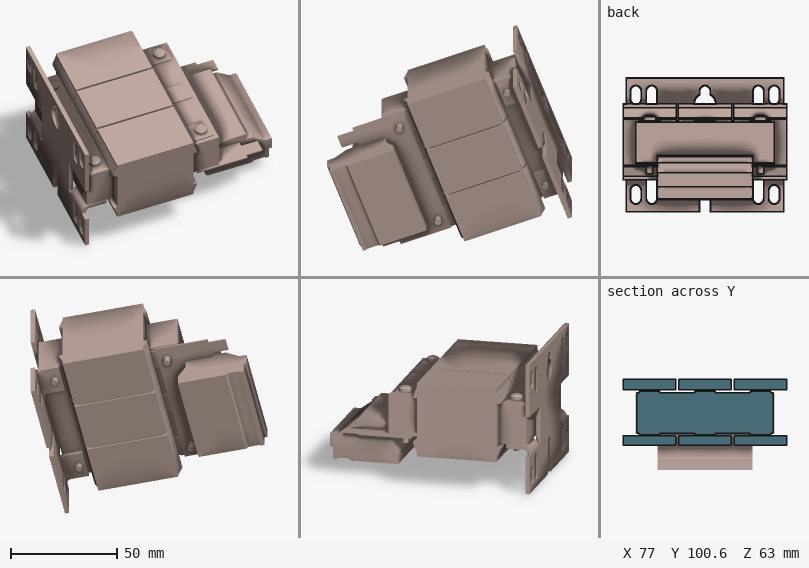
import cadquery as cq
import math


PLATE_WIDTH = 74.0
PLATE_HEIGHT = 63.0
PLATE_THICKNESS = 2.0
PLATE_TOP = PLATE_HEIGHT / 2
NOTCH_INNER_X = 16.8
NOTCH_TOP = 6.0
NOTCH_BOTTOM = -13.5
SLOT_WIDTH = 4.9
SLOT_END = 27.8
OUTER_SLOT_X = 32.5
OUTER_SLOT_LENGTH = 8.9
INNER_SLOT_X = 25.0
INNER_SLOT_LENGTH = 13.3
KEYHOLE_Z = 19.2
KEYHOLE_RADIUS = 5.0
OPEN_SLOT_WIDTH = 5.1
OPEN_SLOT_TOP = -13.8

FOOT_INNER_X = 18.9
FOOT_OUTER_X = 32.9
FOOT_END_Y = 12.4
BEND_RADIUS = 4.1

CORE_WIDTH = 65.1
CORE_TOP = 10.7
CORE_BOTTOM = -8.5
SHEET_THICKNESS = 0.7
CLAMP_TOP = CORE_TOP + SHEET_THICKNESS
CLAMP_BOTTOM = CORE_BOTTOM - SHEET_THICKNESS
FRONT_YOKE_Y = 2.7
BACK_YOKE_Y = 56.7
CORE_END_Y = 69.6
SPACER_Y = 54.5
SPACER_INSET = 0.4

COIL_WIDTH = 24.9
COIL_ROW_WIDTH = 77.0
COIL_PITCH = (COIL_ROW_WIDTH - COIL_WIDTH) / 2
COIL_X = (-COIL_PITCH, 0, COIL_PITCH)
COIL_FRONT_Y = 15.7
COIL_BACK_Y = 54.3
COIL_TOP = 19.2
COIL_BOTTOM = -16.5
FLANGE_REACH = 1.8
RIM_HEIGHT = 1.7
LIP_HEIGHT = 0.7
FLANGE_TOP = 12.0
FLANGE_BOTTOM = -9.6

TONGUE_BASE_WIDTH = 10.0
TONGUE_TIP_WIDTH = 9.3
TONGUE_TIP_Y = 67.5

SCREW_Y = (9.2, 63.1)
SCREW_X = (-COIL_PITCH, COIL_PITCH)
HEAD_RADIUS = 2.9
HEAD_HEIGHT = 2.4
HEAD_TOP_RADIUS = 1.7
HEAD_RIM_HEIGHT = 1.7
SHANK_RADIUS = 1.5
SHANK_BOTTOM = -13.6

CARRIER_THICKNESS = 0.7
CARRIER_START_Y = 58.6
CARRIER_END_Y = 84.1
LUG_INNER_X = 24.6
LUG_OUTER_X = 30.9
LUG_END_Y = 92.4

TERMINAL_WIDTH = 44.7
TERMINAL_OUTLINE = [
    (100.6, -13.1),
    (97.1, -13.1),
    (90.7, -8.5),
    (87.9, -8.5),
    (87.9, -5.5),
    (87.1, -4.9),
    (80.0, -4.9),
    (71.2, -6.5),
    (71.2, -14.2),
    (67.5, -20.5),
    (67.5, -25.8),
    (90.5, -25.8),
    (91.5, -24.7),
    (97.3, -24.7),
    (97.3, -25.5),
    (99.2, -25.5),
    (99.2, -19.6),
    (100.6, -19.6),
]


def block(x0, x1, y0, y1, z0, z1):
    """Box between two corners."""
    return cq.Workplane("XY").box(x1 - x0, y1 - y0, z1 - z0, centered=False).translate((x0, y0, z0))


def extrude_outline(outline, x_center, width):
    """Closed Y-Z outline extruded along X, centred on x_center."""
    solid = cq.Workplane("YZ").polyline(outline).close().extrude(width / 2, both=True)
    return solid.translate((x_center, 0, 0))


def plate_cutter(sketch):
    """Turn a sketch on the X-Z plane into a cutter through the plate."""
    return sketch.extrude(PLATE_THICKNESS, both=True)


def mounting_plate():
    half_width = PLATE_WIDTH / 2
    plate = block(-half_width, half_width, 0, PLATE_THICKNESS, -PLATE_TOP, PLATE_TOP)

    for x0, x1 in ((-half_width, -NOTCH_INNER_X), (NOTCH_INNER_X, half_width)):
        plate = plate.cut(block(x0, x1, 0, PLATE_THICKNESS, NOTCH_BOTTOM, NOTCH_TOP))

    for slot_x, length in ((OUTER_SLOT_X, OUTER_SLOT_LENGTH), (INNER_SLOT_X, INNER_SLOT_LENGTH)):
        slot_z = SLOT_END - length / 2
        centers = [(sx * slot_x, sz * slot_z) for sx in (-1, 1) for sz in (-1, 1)]
        slots = cq.Workplane("XZ").pushPoints(centers).slot2D(length, SLOT_WIDTH, 90)
        plate = plate.cut(plate_cutter(slots))

    keyhole_neck = SLOT_END - KEYHOLE_Z + SLOT_WIDTH / 2
    neck_z = SLOT_END - keyhole_neck / 2
    keyhole_circle = cq.Workplane("XZ").center(0, KEYHOLE_Z).circle(KEYHOLE_RADIUS)
    keyhole_slot = cq.Workplane("XZ").center(0, neck_z).slot2D(keyhole_neck, SLOT_WIDTH, 90)
    plate = plate.cut(plate_cutter(keyhole_circle)).cut(plate_cutter(keyhole_slot))

    open_length = OPEN_SLOT_TOP + PLATE_TOP + OPEN_SLOT_WIDTH
    open_z = OPEN_SLOT_TOP - open_length / 2
    open_slot = cq.Workplane("XZ").center(0, open_z).slot2D(open_length, OPEN_SLOT_WIDTH, 90)
    return plate.cut(plate_cutter(open_slot))


def foot(side):
    """Strip bent back from the plate, lying under the front yoke."""
    inner_radius = BEND_RADIUS - PLATE_THICKNESS
    bend_z = CLAMP_BOTTOM - BEND_RADIUS
    diagonal = math.sqrt(0.5)
    profile = (
        cq.Workplane("YZ")
        .moveTo(0, NOTCH_BOTTOM)
        .lineTo(0, bend_z)
        .threePointArc(
            (BEND_RADIUS * (1 - diagonal), bend_z + BEND_RADIUS * diagonal),
            (BEND_RADIUS, CLAMP_BOTTOM),
        )
        .lineTo(FOOT_END_Y, CLAMP_BOTTOM)
        .lineTo(FOOT_END_Y, CLAMP_BOTTOM - PLATE_THICKNESS)
        .lineTo(BEND_RADIUS, CLAMP_BOTTOM - PLATE_THICKNESS)
        .threePointArc(
            (BEND_RADIUS - inner_radius * diagonal, bend_z + inner_radius * diagonal),
            (PLATE_THICKNESS, bend_z),
        )
        .lineTo(PLATE_THICKNESS, NOTCH_BOTTOM)
        .close()
    )
    center = side * (FOOT_INNER_X + FOOT_OUTER_X) / 2
    return profile.extrude((FOOT_OUTER_X - FOOT_INNER_X) / 2, both=True).translate((center, 0, 0))


def core():
    """Front yoke with its clamping sheets, back yoke, and the spacer before the back yoke."""
    half_width = CORE_WIDTH / 2
    spacer_x = half_width - SPACER_INSET
    front_yoke = block(-half_width, half_width, FRONT_YOKE_Y, COIL_FRONT_Y, CLAMP_BOTTOM, CLAMP_TOP)
    back_yoke = block(-half_width, half_width, BACK_YOKE_Y, CORE_END_Y, CORE_BOTTOM, CORE_TOP)
    spacer = block(-spacer_x, spacer_x, SPACER_Y, BACK_YOKE_Y, CORE_BOTTOM, CORE_TOP)
    return front_yoke.union(spacer).union(back_yoke)


def coil(x):
    """Coil block with slanted flanges standing out at both ends, above and below the yokes."""
    front_lip_y = COIL_FRONT_Y - FLANGE_REACH
    back_lip_y = COIL_BACK_Y + FLANGE_REACH
    outline = [
        (COIL_FRONT_Y, COIL_TOP),
        (COIL_BACK_Y, COIL_TOP),
        (COIL_BACK_Y, COIL_TOP - RIM_HEIGHT),
        (back_lip_y, FLANGE_TOP + LIP_HEIGHT),
        (back_lip_y, FLANGE_TOP),
        (COIL_BACK_Y, FLANGE_TOP),
        (COIL_BACK_Y, FLANGE_BOTTOM),
        (back_lip_y, FLANGE_BOTTOM),
        (back_lip_y, FLANGE_BOTTOM - LIP_HEIGHT),
        (COIL_BACK_Y, COIL_BOTTOM + RIM_HEIGHT),
        (COIL_BACK_Y, COIL_BOTTOM),
        (COIL_FRONT_Y, COIL_BOTTOM),
        (COIL_FRONT_Y, COIL_BOTTOM + RIM_HEIGHT),
        (front_lip_y, FLANGE_BOTTOM - LIP_HEIGHT),
        (front_lip_y, FLANGE_BOTTOM),
        (COIL_FRONT_Y, FLANGE_BOTTOM),
        (COIL_FRONT_Y, FLANGE_TOP),
        (front_lip_y, FLANGE_TOP),
        (front_lip_y, FLANGE_TOP + LIP_HEIGHT),
        (COIL_FRONT_Y, COIL_TOP - RIM_HEIGHT),
    ]
    return extrude_outline(outline, x, COIL_WIDTH)


def tongue(x, z):
    """Tapered sheet tongue whose underside is at height z."""
    base = TONGUE_BASE_WIDTH / 2
    tip = TONGUE_TIP_WIDTH / 2
    outline = [(-base, COIL_BACK_Y), (base, COIL_BACK_Y), (tip, TONGUE_TIP_Y), (-tip, TONGUE_TIP_Y)]
    return cq.Workplane("XY").polyline(outline).close().extrude(SHEET_THICKNESS).translate((x, 0, z))


def screw(x, y):
    """Screw with a bevelled round head on the clamped core and a shank running down through it."""
    half_section = [
        (0, SHANK_BOTTOM),
        (SHANK_RADIUS, SHANK_BOTTOM),
        (SHANK_RADIUS, CLAMP_TOP),
        (HEAD_RADIUS, CLAMP_TOP),
        (HEAD_RADIUS, CLAMP_TOP + HEAD_RIM_HEIGHT),
        (HEAD_TOP_RADIUS, CLAMP_TOP + HEAD_HEIGHT),
        (0, CLAMP_TOP + HEAD_HEIGHT),
    ]
    turned = cq.Workplane("XZ").polyline(half_section).close().revolve(360, (0, 0, 0), (0, 1, 0))
    return turned.translate((x, y, 0))


def terminal_carrier():
    """Sheet under the back yoke with a narrow lug at each side."""
    half_width = CORE_WIDTH / 2
    bottom = CLAMP_BOTTOM - CARRIER_THICKNESS
    carrier = block(-half_width, half_width, CARRIER_START_Y, CARRIER_END_Y, bottom, CLAMP_BOTTOM)
    for x0, x1 in ((-LUG_OUTER_X, -LUG_INNER_X), (LUG_INNER_X, LUG_OUTER_X)):
        carrier = carrier.union(block(x0, x1, CARRIER_END_Y, LUG_END_Y, bottom, CLAMP_BOTTOM))
    return carrier


result = mounting_plate().union(core())
for side in (-1, 1):
    result = result.union(foot(side))
for coil_x in COIL_X:
    result = result.union(coil(coil_x))
    result = result.union(tongue(coil_x, CORE_TOP))
    result = result.union(tongue(coil_x, CLAMP_BOTTOM))
result = result.union(terminal_carrier())
result = result.union(extrude_outline(TERMINAL_OUTLINE, 0, TERMINAL_WIDTH))
for screw_x in SCREW_X:
    for screw_y in SCREW_Y:
        result = result.union(screw(screw_x, screw_y))